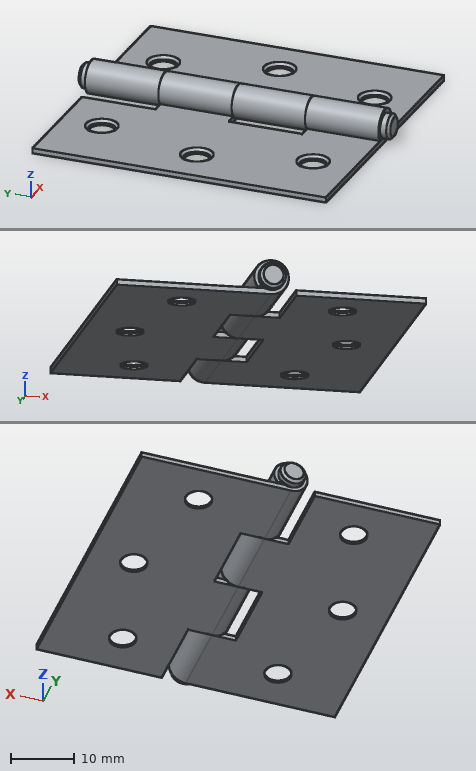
import cadquery as cq
import math


hinge_width = 50.0
hinge_length = 50.0
sheet_thickness = 0.9
slot_half_width = 4.0

knuckle_count = 4
knuckle_length = hinge_length / knuckle_count
knuckle_radius = 2.8
bore_radius = knuckle_radius - sheet_thickness
roll_end_clearance = 0.1

screw_hole_diameter = 4.3
countersink_diameter = 5.3
countersink_angle = 90.0
outer_hole_x = 13.0
outer_hole_y = 18.0
middle_hole_x = 17.5

pin_length = 53.1
pin_head_diameter = 4.2
pin_head_chamfer = 0.5
pin_head_length = (pin_length - hinge_length) / 2

leaf_bottom = -knuckle_radius
leaf_top = leaf_bottom + sheet_thickness


def make_leaf_plate():
    """Flat plate on the -X side, ending short of the knuckles, with its screw holes."""
    plate_width = hinge_width / 2 - slot_half_width
    plate = cq.Workplane("XY").box(
        plate_width, hinge_length, sheet_thickness, centered=(False, True, False)
    ).translate((-hinge_width / 2, 0, leaf_bottom))
    hole_centres = [
        (-outer_hole_x, -outer_hole_y),
        (-middle_hole_x, 0),
        (-outer_hole_x, outer_hole_y),
    ]
    return (
        plate.faces(">Z").workplane(origin=(0, 0, leaf_top))
        .pushPoints(hole_centres)
        .cskHole(screw_hole_diameter, countersink_diameter, countersink_angle)
    )


def make_knuckle(start_y):
    """Strip that runs from the plate to below the pin axis and rolls around it, up to a radial lip end."""
    lip_angle = math.pi + math.asin(-(leaf_top + roll_end_clearance) / knuckle_radius)
    lip_x = math.cos(lip_angle)
    lip_z = math.sin(lip_angle)
    middle_angle = (lip_angle - math.pi / 2) / 2
    middle_x = math.cos(middle_angle)
    middle_z = math.sin(middle_angle)
    return (
        cq.Workplane("XZ", origin=(0, start_y, 0))
        .moveTo(-slot_half_width, leaf_bottom)
        .lineTo(0, leaf_bottom)
        .threePointArc(
            (knuckle_radius * middle_x, knuckle_radius * middle_z),
            (knuckle_radius * lip_x, knuckle_radius * lip_z),
        )
        .lineTo(bore_radius * lip_x, bore_radius * lip_z)
        .threePointArc((bore_radius * middle_x, bore_radius * middle_z), (0, leaf_top))
        .lineTo(-slot_half_width, leaf_top)
        .close()
        .extrude(-knuckle_length)
    )


def make_leaf():
    """Leaf on the -X side: plate plus every second knuckle, starting at the -Y end."""
    leaf = make_leaf_plate()
    for index in range(0, knuckle_count, 2):
        leaf = leaf.union(make_knuckle(-hinge_length / 2 + index * knuckle_length))
    return leaf


def make_pin():
    """Shaft filling the knuckle bores, with a wider chamfered head beyond each end."""
    pin = cq.Workplane("XZ").circle(bore_radius).extrude(hinge_length / 2, both=True)
    head = (
        cq.Workplane("XZ", origin=(0, -hinge_length / 2, 0))
        .circle(pin_head_diameter / 2)
        .extrude(pin_head_length)
        .faces("<Y").chamfer(pin_head_chamfer)
    )
    return pin.union(head).union(head.mirror("XZ"))


leaves = [make_leaf().rotate((0, 0, 0), (0, 0, 1), angle) for angle in (0, 180)]
pin = make_pin()

leaf_solids = [leaf.solids().val() for leaf in leaves]
result = cq.Compound.makeCompound([*leaf_solids, pin.solids().val()])